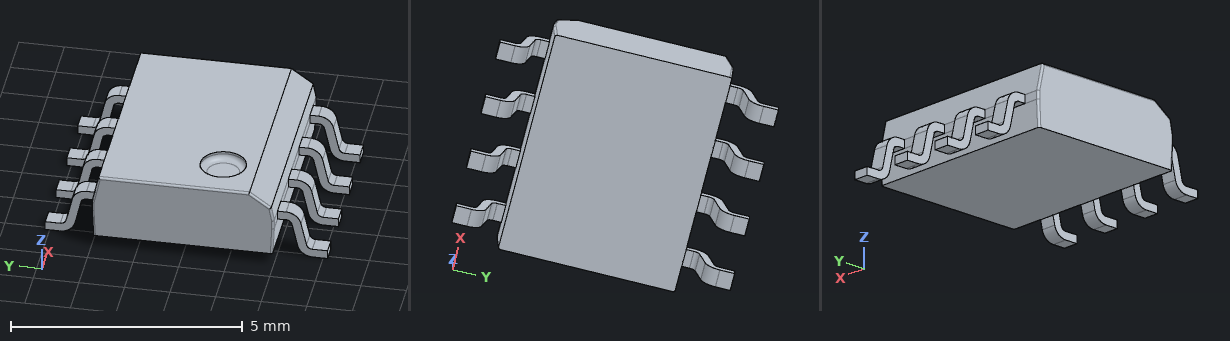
import cadquery as cq
import math

BODY_LENGTH = 5.0
BODY_BOTTOM_WIDTH = 3.94
BODY_TOP = 1.76
BODY_BOTTOM = 0.25
BACK_TOP_Y = 1.855
BEVEL_TOP_Y = -1.46
BEVEL_LOW_Y = -1.935
BEVEL_LOW_Z = 1.425
END_FILLET = 0.05

LEADS_PER_SIDE = 4
LEAD_PITCH = 1.27
LEAD_ROW_SHIFT = 0.01
LEAD_WIDTH = 0.395
LEAD_THICKNESS = 0.205
LEAD_TOP = 1.1
LEAD_BEND_RADIUS = 0.13
LEAD_BEND_ANGLE = math.radians(77)
SHOULDER_END_Y = 2.19
LEAD_TIP_Y = 3.1

BAND_WIDTH = 4.0
BAND_BOTTOM = LEAD_TOP - LEAD_THICKNESS

DIMPLE_DIAMETER = 1.0
DIMPLE_FLOOR_DIAMETER = 0.71
DIMPLE_DEPTH = 0.2
DIMPLE_X = DIMPLE_DIAMETER - BODY_LENGTH / 2
DIMPLE_Y = -0.7


def make_body():
    """Body section extruded along X, with all end edges but the bottom ones rounded."""
    half_bottom = BODY_BOTTOM_WIDTH / 2
    half_band = BAND_WIDTH / 2
    section = [
        (-half_bottom, BODY_BOTTOM),
        (half_bottom, BODY_BOTTOM),
        (half_band, BAND_BOTTOM),
        (half_band, LEAD_TOP),
        (BACK_TOP_Y, BODY_TOP),
        (BEVEL_TOP_Y, BODY_TOP),
        (BEVEL_LOW_Y, BEVEL_LOW_Z),
        (-half_band, LEAD_TOP),
        (-half_band, BAND_BOTTOM),
    ]
    body = cq.Workplane("YZ").polyline(section).close().extrude(BODY_LENGTH / 2, both=True)
    end_edges = body.faces("<X or >X").edges("not <Z")
    return end_edges.fillet(END_FILLET)


def make_dimple():
    """Round recess whose wall curves inward to a smaller flat floor."""
    rim_radius = DIMPLE_DIAMETER / 2
    floor_radius = DIMPLE_FLOOR_DIAMETER / 2
    corner_radius = rim_radius - floor_radius
    return (
        cq.Workplane("XY", origin=(DIMPLE_X, DIMPLE_Y, BODY_TOP - DIMPLE_DEPTH))
        .circle(rim_radius)
        .extrude(DIMPLE_DEPTH)
        .faces("<Z")
        .edges()
        .fillet(corner_radius)
    )


def make_lead():
    """Lead on the +Y side, centred on X = 0: shoulder, two equal bends, sloped leg and foot."""
    inner = LEAD_BEND_RADIUS
    outer = inner + LEAD_THICKNESS
    bend_span = inner + outer
    sine = math.sin(LEAD_BEND_ANGLE)
    cosine = math.cos(LEAD_BEND_ANGLE)

    upper_centre = (SHOULDER_END_Y, LEAD_TOP - outer)
    lower_z = outer
    leg_length = (upper_centre[1] - lower_z + bend_span * cosine) / sine
    lower_y = SHOULDER_END_Y + bend_span * sine + leg_length * cosine
    lower_centre = (lower_y, lower_z)

    def bend_point(centre, radius, turn):
        """Point on a bend, turned from straight up; a negative radius is the far side."""
        return (centre[0] + radius * math.sin(turn), centre[1] + radius * math.cos(turn))

    full = LEAD_BEND_ANGLE
    half = full / 2
    root_y = BODY_BOTTOM_WIDTH / 2 - LEAD_THICKNESS
    return (
        cq.Workplane("YZ")
        .moveTo(root_y, LEAD_TOP)
        .lineTo(SHOULDER_END_Y, LEAD_TOP)
        .threePointArc(bend_point(upper_centre, outer, half), bend_point(upper_centre, outer, full))
        .lineTo(*bend_point(lower_centre, -inner, full))
        .threePointArc(bend_point(lower_centre, -inner, half), bend_point(lower_centre, -inner, 0))
        .lineTo(LEAD_TIP_Y, LEAD_THICKNESS)
        .lineTo(LEAD_TIP_Y, 0)
        .lineTo(lower_y, 0)
        .threePointArc(bend_point(lower_centre, -outer, half), bend_point(lower_centre, -outer, full))
        .lineTo(*bend_point(upper_centre, inner, full))
        .threePointArc(bend_point(upper_centre, inner, half), bend_point(upper_centre, inner, 0))
        .lineTo(root_y, BAND_BOTTOM)
        .close()
        .extrude(LEAD_WIDTH / 2, both=True)
    )


result = make_body().cut(make_dimple())

back_lead = make_lead()
front_lead = back_lead.mirror("XZ")
first_lead_x = LEAD_ROW_SHIFT - LEAD_PITCH * (LEADS_PER_SIDE - 1) / 2
for index in range(LEADS_PER_SIDE):
    offset = (first_lead_x + index * LEAD_PITCH, 0, 0)
    result = result.union(back_lead.translate(offset)).union(front_lead.translate(offset))